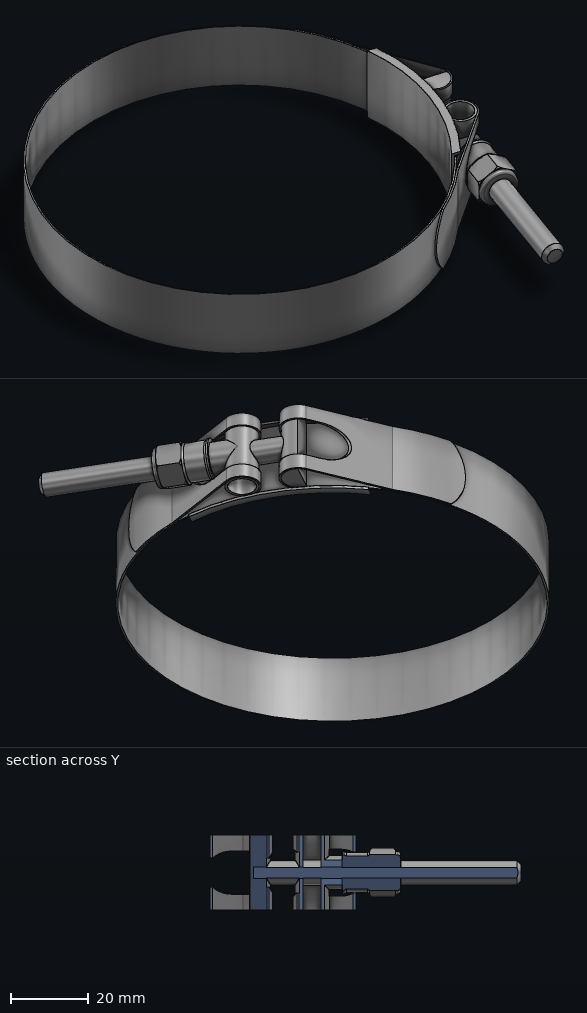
import cadquery as cq
import math


band_outer_radius = 55.7
band_thickness = 0.5
band_width = 19.4
band_inner_radius = band_outer_radius - band_thickness
fold_gap = 0.05
overlap_inner_radius = band_outer_radius + fold_gap
overlap_outer_radius = overlap_inner_radius + band_thickness
overlap_end_angle = 37.0
overlap_tip_radius = 12.7

bolt_axis_y = 59.65
trunnion_x = 7.5
trunnion_distance = math.hypot(trunnion_x, bolt_axis_y)
trunnion_radius = trunnion_distance - band_outer_radius
tube_bore_radius = 3.7
head_flat_x = -8.55
loop_radius = trunnion_radius + band_thickness

head_slot_radius = 5.5
head_slot_y = 60.8
nut_slot_radius = 6.0
nut_slot_y = bolt_axis_y

bridge_width = 22.0
bridge_half_length = 24.0
bridge_inner_radius = 54.4
bridge_rim_radius = 56.8
bridge_rim_thickness = 0.8

bolt_radius = 3.25
bolt_start_x = -trunnion_x
bolt_end_x = 61.26
bolt_chamfer = 1.1

nut_start_x = 15.2
flange_radius = 5.51
flange_thickness = 0.5
collar_radius = 5.2
taper_length = 0.6
hex_start_x = 22.3
hex_end_x = 29.0
hex_across_flats = 2 * flange_radius
hex_edge_chamfer = 0.5
nut_end_x = 30.3
nut_end_rounding = 0.8

trunnion_angle = math.degrees(math.atan2(bolt_axis_y, trunnion_x))
tangent_angle = trunnion_angle - math.degrees(
    math.acos((band_outer_radius - loop_radius) / trunnion_distance))
overlap_start_angle = tangent_angle + math.degrees(math.acos(band_outer_radius / overlap_outer_radius))


def polar(center, radius, angle):
    """Point at an angle in degrees on a circle."""
    a = math.radians(angle)
    return (center[0] + radius * math.cos(a), center[1] + radius * math.sin(a))


def arc_strip(center, inner, outer, start, end, width):
    """Curved strip between two radii, centred on Z = 0."""
    middle = (start + end) / 2
    return (
        cq.Workplane("XY", origin=(0, 0, -width / 2))
        .moveTo(*polar(center, outer, start))
        .threePointArc(polar(center, outer, middle), polar(center, outer, end))
        .lineTo(*polar(center, inner, end))
        .threePointArc(polar(center, inner, middle), polar(center, inner, start))
        .close()
        .extrude(width)
    )


def cylinder_x(radius, start_x, end_x):
    """Cylinder on the bolt axis."""
    return (
        cq.Workplane("YZ", origin=(start_x, bolt_axis_y, 0))
        .circle(radius)
        .extrude(end_x - start_x)
    )


def cylinder_z(x, radius):
    """Cylinder across the band, crossing the bolt axis."""
    return (
        cq.Workplane("XY", origin=(x, bolt_axis_y, -band_width / 2))
        .circle(radius)
        .extrude(band_width)
    )


def overlap():
    """Folded-back band end with a rounded tip, on the +X side."""
    strip = arc_strip((0, 0), overlap_inner_radius, overlap_outer_radius,
                      overlap_end_angle, overlap_start_angle, band_width)
    tip = (
        cq.Workplane("XY")
        .transformed(rotate=(0, 0, overlap_end_angle))
        .transformed(rotate=(0, 90, 0), offset=(0, overlap_tip_radius, 0))
        .circle(overlap_tip_radius)
        .extrude(2 * overlap_outer_radius)
    )
    tip_reach = overlap_tip_radius - math.sqrt(overlap_tip_radius**2 - (band_width / 2) ** 2)
    tip_end_angle = overlap_end_angle + math.degrees(tip_reach / overlap_outer_radius)
    beyond_tip = arc_strip((0, 0), overlap_inner_radius, overlap_outer_radius,
                           tip_end_angle, overlap_start_angle, band_width)
    return strip.intersect(tip).union(beyond_tip)


def loop(slot_radius, slot_y):
    """Band loop around a trunnion and its straight tail, slotted, on the +X side."""
    center = (trunnion_x, bolt_axis_y)
    eye = arc_strip(center, trunnion_radius, loop_radius,
                    tangent_angle, trunnion_angle + 180, band_width)
    tail = (
        cq.Workplane("XY", origin=(0, 0, -band_width / 2))
        .polyline([
            polar(center, loop_radius, tangent_angle),
            polar(center, trunnion_radius, tangent_angle),
            polar((0, 0), band_inner_radius, tangent_angle),
            polar((0, 0), band_outer_radius, tangent_angle),
        ])
        .close()
        .extrude(band_width)
        .cut(cq.Workplane("XY").circle(overlap_inner_radius).extrude(band_width, both=True))
    )
    slot = (
        cq.Workplane("YZ", origin=(0, slot_y, 0))
        .circle(slot_radius)
        .extrude(band_outer_radius)
        .union(
            cq.Workplane("YZ", origin=(0, slot_y, 0))
            .rect(2 * slot_radius, 2 * slot_radius)
            .extrude(band_outer_radius)
            .translate((0, slot_radius, 0))
        )
    )
    return eye.union(tail).cut(slot)


def make_band():
    ring = arc_strip((0, 0), band_inner_radius, band_outer_radius,
                     180 - trunnion_angle, trunnion_angle - 360, band_width)
    nut_side = loop(nut_slot_radius, nut_slot_y).union(overlap())
    head_side = loop(head_slot_radius, head_slot_y).union(overlap()).mirror("YZ")
    return ring.union(nut_side).union(head_side)


def make_bridge():
    """Curved channel: a floor under the band and a rim along each edge."""
    channel = (
        cq.Workplane("XY", origin=(0, 0, -bridge_width / 2))
        .circle(bridge_rim_radius)
        .circle(bridge_inner_radius)
        .extrude(bridge_width)
    )
    seat_width = bridge_width - 2 * bridge_rim_thickness
    seat = (
        cq.Workplane("XY", origin=(0, 0, -seat_width / 2))
        .circle(bridge_rim_radius)
        .circle(band_inner_radius)
        .extrude(seat_width)
    )
    window = (
        cq.Workplane("XY")
        .box(2 * bridge_half_length, bridge_rim_radius, bridge_width, centered=(True, False, True))
    )
    return channel.cut(seat).intersect(window)


def make_head_trunnion():
    """Solid D-shaped trunnion with a blind socket for the bolt."""
    body = cylinder_z(-trunnion_x, trunnion_radius)
    behind_flat = (
        cq.Workplane("XY", origin=(head_flat_x - trunnion_radius, bolt_axis_y, 0))
        .box(2 * trunnion_radius, 2 * trunnion_radius, band_width)
    )
    return body.cut(behind_flat).cut(cylinder_x(bolt_radius, bolt_start_x, 0))


def make_tube_trunnion():
    """Open tube with a sleeve on its nut side, drilled for the bolt."""
    return (
        cylinder_z(trunnion_x, trunnion_radius)
        .union(cylinder_x(trunnion_radius, trunnion_x, nut_start_x))
        .cut(cylinder_z(trunnion_x, tube_bore_radius))
        .cut(cylinder_x(bolt_radius, 0, nut_start_x))
    )


def make_bolt():
    return cylinder_x(bolt_radius, bolt_start_x, bolt_end_x).faces(">X").chamfer(bolt_chamfer)


def make_nut():
    """Hexagon nut with a flanged round collar facing the sleeve."""
    flange_end_x = nut_start_x + flange_thickness
    collar_top = bolt_axis_y + collar_radius
    flange_top = bolt_axis_y + flange_radius
    rounding_mid = nut_end_rounding * (1 - math.sqrt(0.5))
    collar = (
        cq.Workplane("XY")
        .moveTo(nut_start_x, bolt_axis_y)
        .lineTo(nut_start_x, flange_top)
        .lineTo(flange_end_x, flange_top)
        .lineTo(flange_end_x + taper_length, collar_top)
        .lineTo(hex_start_x - taper_length, collar_top)
        .lineTo(hex_start_x, flange_top)
        .lineTo(nut_end_x - nut_end_rounding, flange_top)
        .threePointArc((nut_end_x - rounding_mid, flange_top - rounding_mid),
                       (nut_end_x, flange_top - nut_end_rounding))
        .lineTo(nut_end_x, bolt_axis_y)
        .close()
        .revolve(360, (0, bolt_axis_y, 0), (1, bolt_axis_y, 0))
    )
    hex_length = hex_end_x - hex_start_x
    across_corners = hex_across_flats / math.cos(math.radians(30))
    corner_limit = (
        cylinder_x(across_corners / 2, hex_start_x, hex_end_x)
        .faces("<X or >X")
        .chamfer(hex_edge_chamfer)
    )
    hexagon = (
        cq.Workplane("YZ", origin=(hex_start_x, bolt_axis_y, 0))
        .transformed(rotate=(0, 0, 90))
        .polygon(6, across_corners)
        .extrude(hex_length)
        .intersect(corner_limit)
    )
    return collar.union(hexagon).cut(cylinder_x(bolt_radius, nut_start_x, nut_end_x))


band = make_band()
bridge = make_bridge()
head_trunnion = make_head_trunnion()
tube_trunnion = make_tube_trunnion()
bolt = make_bolt()
nut = make_nut()

bodies = [band, bridge, head_trunnion, tube_trunnion, bolt, nut]
result = cq.Compound.makeCompound([body.solids().val() for body in bodies])